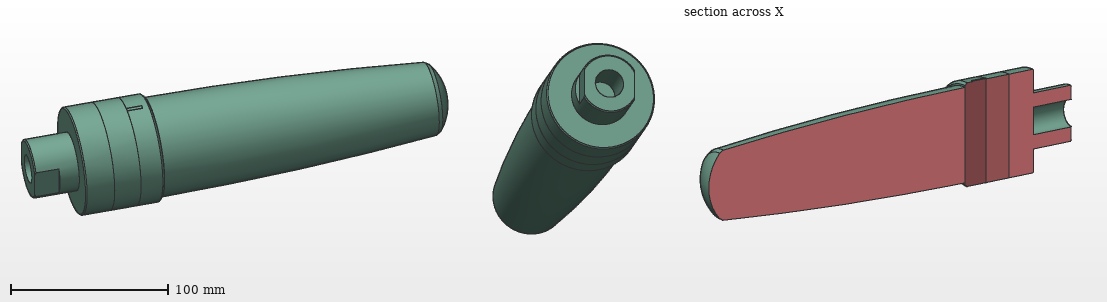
import cadquery as cq
import math

total_length = 275.5

ring_diameter = 70.0
ring_radius = ring_diameter / 2
ring_chamfer = 0.8
front_ring_length = 19.0
middle_ring_length = 17.4
collar_length = 16.0
collar_chamfer = 1.7

spindle_diameter = 38.0
spindle_length = 28.7
spindle_chamfer = 0.8
flat_length = 16.0
across_flats = 32.5
bore_diameter = 18.2
bore_depth = spindle_length

mark_width = 2.5
mark_length = 10.2
mark_height = 0.3
mark_embed = 1.5

grip_base_radius = 32.2
grip_tip_radius = 23.7
dome_height = 8.3
dome_base_radius = 22.0
shoulder_length = 2.8

front_ring_end = spindle_length + front_ring_length
middle_ring_end = front_ring_end + middle_ring_length
collar_end = middle_ring_end + collar_length
dome_start = total_length - dome_height
shoulder_start = dome_start - shoulder_length


def cylinder(diameter, start, length):
    """Solid cylinder about Y, from start toward +Y."""
    plane = cq.Plane(origin=(0, start, 0), xDir=(1, 0, 0), normal=(0, 1, 0))
    return cq.Workplane(plane).circle(diameter / 2).extrude(length)


def make_spindle():
    """Front ring with its spindle, two wrench flats and a blind bore."""
    ring = cylinder(ring_diameter, spindle_length, front_ring_length)
    ring = ring.faces("<Y").chamfer(ring_chamfer)
    shaft = cylinder(spindle_diameter, 0, spindle_length)
    shaft = shaft.faces("<Y").chamfer(spindle_chamfer)

    flat_cut_depth = (spindle_diameter - across_flats) / 2
    for side in (-1, 1):
        cutter = cq.Workplane("XY").box(flat_cut_depth, flat_length, spindle_diameter)
        cutter_x = side * (across_flats + flat_cut_depth) / 2
        shaft = shaft.cut(cutter.translate((cutter_x, flat_length / 2, 0)))

    return ring.union(shaft).cut(cylinder(bore_diameter, 0, bore_depth))


def make_middle_ring():
    """Plain ring between the front ring and the collar."""
    return cylinder(ring_diameter, front_ring_end, middle_ring_length)


def make_collar():
    """Rear ring with a chamfered back edge and a slightly raised index mark."""
    collar = cylinder(ring_diameter, middle_ring_end, collar_length)
    collar = collar.faces(">Y").chamfer(collar_chamfer)
    mark = cq.Workplane("XY").box(
        mark_width, mark_length, mark_height + mark_embed, centered=(True, False, False)
    )
    return collar.union(mark.translate((0, middle_ring_end, ring_radius - mark_embed)))


def make_grip():
    """Barrel tapering along an arc that is parallel to the axis at the collar, with a domed tip."""
    taper_length = shoulder_start - collar_end
    taper_drop = grip_base_radius - grip_tip_radius
    arc_radius = (taper_length**2 + taper_drop**2) / (2 * taper_drop)
    taper_mid_y = collar_end + taper_length / 2
    taper_mid_radius = grip_base_radius - arc_radius + math.sqrt(arc_radius**2 - (taper_length / 2) ** 2)

    dome_radius = (dome_base_radius**2 + dome_height**2) / (2 * dome_height)
    dome_mid_x = dome_base_radius / 2
    dome_mid_y = total_length - dome_radius + math.sqrt(dome_radius**2 - dome_mid_x**2)

    return (
        cq.Workplane("XY")
        .moveTo(0, collar_end)
        .lineTo(grip_base_radius, collar_end)
        .threePointArc((taper_mid_radius, taper_mid_y), (grip_tip_radius, shoulder_start))
        .lineTo(dome_base_radius, dome_start)
        .threePointArc((dome_mid_x, dome_mid_y), (0, total_length))
        .close()
        .revolve(360, (0, 0, 0), (0, 1, 0))
    )


spindle = make_spindle()
middle_ring = make_middle_ring()
collar = make_collar()
grip = make_grip()

result = cq.Compound.makeCompound([spindle.val(), middle_ring.val(), collar.val(), grip.val()])